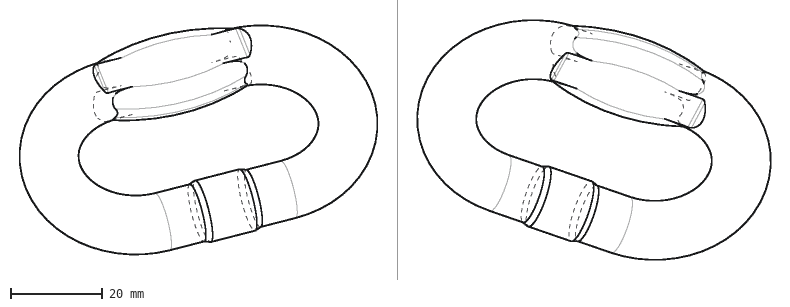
import cadquery as cq
import math

bar_diameter = 13.0
bend_radius = 19.0
straight_length = 29.0

sleeve_diameter = 13.97
sleeve_length = 13.0
sleeve_chamfer_length = 1.4

grip_width = 18.13
grip_thickness = 10.0
grip_length = 32.0
grip_side_radius = 43.0
grip_edge_fillet = 3.5

flat_corner_fillet = 1.0
flat_end_angle = 45.0

half_straight = straight_length / 2
bar_radius = bar_diameter / 2


def make_ring():
    path = (
        cq.Workplane("XY")
        .moveTo(bend_radius, -half_straight)
        .lineTo(bend_radius, half_straight)
        .threePointArc((0, half_straight + bend_radius), (-bend_radius, half_straight))
        .lineTo(-bend_radius, -half_straight)
        .threePointArc((0, -half_straight - bend_radius), (bend_radius, -half_straight))
        .close()
    )
    section = cq.Workplane("XZ", origin=(bend_radius, -half_straight, 0)).circle(bar_radius)
    return section.sweep(path)


def make_sleeve():
    half_length = sleeve_length / 2
    half_full = half_length - sleeve_chamfer_length
    sleeve_radius = sleeve_diameter / 2
    profile = (
        cq.Workplane("XY", origin=(bend_radius, 0, 0))
        .moveTo(0, -half_length)
        .lineTo(bar_radius, -half_length)
        .lineTo(sleeve_radius, -half_full)
        .lineTo(sleeve_radius, half_full)
        .lineTo(bar_radius, half_length)
        .lineTo(0, half_length)
        .close()
    )
    return profile.revolve(360, (0, 0, 0), (0, 1, 0))


def make_flat_cutter():
    """Trapezoidal slot above the grip face, open along X, with sloped ends and rounded corners."""
    floor_z = grip_thickness / 2
    cutter_top_z = bar_diameter - floor_z
    slope = math.radians(flat_end_angle)
    corner_setback = flat_corner_fillet * math.tan(slope / 2)
    half_floor = grip_length / 2 + corner_setback
    half_top = half_floor + (cutter_top_z - floor_z) / math.tan(slope)
    return (
        cq.Workplane("YZ", origin=(-bend_radius, 0, 0))
        .moveTo(-half_floor, floor_z)
        .lineTo(half_floor, floor_z)
        .lineTo(half_top, cutter_top_z)
        .lineTo(-half_top, cutter_top_z)
        .close()
        .extrude(bar_radius, both=True)
        .edges("|X and <Z")
        .fillet(flat_corner_fillet)
    )


def make_grip():
    """Plate with two outward-bowed sides and rounded long edges."""
    half_width = grip_width / 2
    half_length = grip_length / 2
    bow = grip_side_radius - math.sqrt(grip_side_radius**2 - half_length**2)
    half_end_width = half_width - bow
    return (
        cq.Workplane("XY", origin=(-bend_radius, 0, -grip_thickness / 2))
        .moveTo(-half_end_width, -half_length)
        .lineTo(half_end_width, -half_length)
        .threePointArc((half_width, 0), (half_end_width, half_length))
        .lineTo(-half_end_width, half_length)
        .threePointArc((-half_width, 0), (-half_end_width, -half_length))
        .close()
        .extrude(grip_thickness)
        .edges("(<Z or >Z) and (not |X)")
        .fillet(grip_edge_fillet)
    )


top_flat = make_flat_cutter()
bottom_flat = top_flat.mirror("XY")

result = make_ring().union(make_sleeve()).cut(top_flat).cut(bottom_flat).union(make_grip())